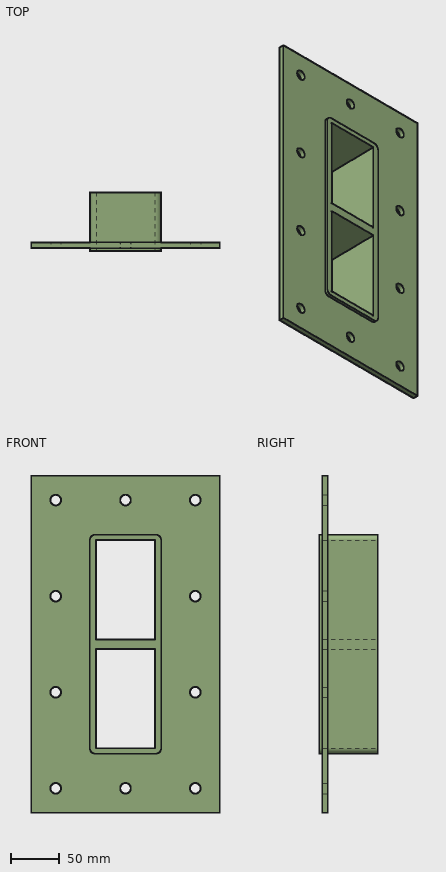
import cadquery as cq

plate_width = 192.5
plate_height = 344.0
plate_thickness = 6.0

sleeve_width = 73.0
sleeve_height = 223.5
sleeve_depth = 60.0
sleeve_corner_radius = 6.0
front_projection = 3.0

window_width = 60.0
window_height = 101.0
web_height = 10.0

hole_diameter = 10.5
hole_column_offset = 71.2
hole_row_pitch = 98.0


def block(width, depth, height, front_y):
    """Box centred in X and Z, running from front_y towards +Y."""
    return cq.Workplane("XY").box(width, depth, height).translate((0, front_y + depth / 2, 0))


plate = block(plate_width, plate_thickness, plate_height, 0)
sleeve = block(sleeve_width, sleeve_depth, sleeve_height, -front_projection)
sleeve = sleeve.edges("|Y").fillet(sleeve_corner_radius)
result = plate.union(sleeve)

window_offset = (web_height + window_height) / 2
window = block(window_width, sleeve_depth, window_height, -front_projection)
for side in (-1, 1):
    result = result.cut(window.translate((0, 0, side * window_offset)))

hole_points = []
for row in (-1.5, -0.5, 0.5, 1.5):
    row_z = row * hole_row_pitch
    hole_points += [(-hole_column_offset, row_z), (hole_column_offset, row_z)]
    if abs(row) > 1:
        hole_points.append((0, row_z))

holes = cq.Workplane("XZ").pushPoints(hole_points).circle(hole_diameter / 2).extrude(-plate_thickness)
result = result.cut(holes)